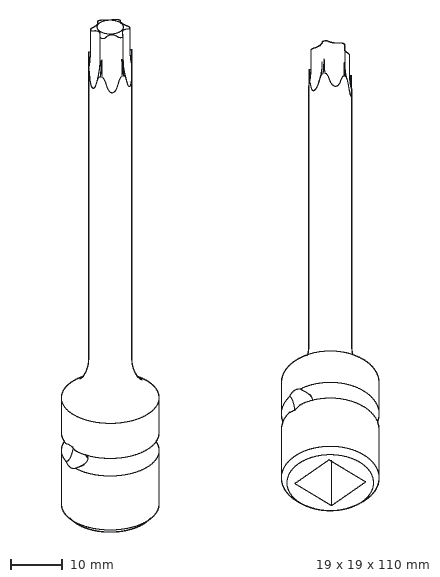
import cadquery as cq
import math

total_length = 110.0
body_radius = 9.5
shaft_radius = 4.2

foot_chamfer_height = 1.2
foot_chamfer_width = 1.1
groove_center_z = 15.5
groove_radius = 2.0
pin_hole_diameter = 5.0

socket_width = 9.7
socket_depth = 18.5

shoulder_z = 25.5
neck_radius = 10.0

lobe_count = 6
lobe_tip_radius = 3.85
flute_floor_radius = 2.75
lobe_round_radius = 0.64
straight_flute_length = 5.4
flute_runout_length = 7.0
end_flat_radius = 2.55
end_bevel_drop = 0.45

cutter_outer_radius = 1.5 * shaft_radius
runout_angle = 40.0

half_pitch = math.pi / lobe_count
neck_offset = shaft_radius + neck_radius - body_radius
neck_top_z = shoulder_z + math.sqrt(neck_radius**2 - neck_offset**2)
runout_start_z = total_length - straight_flute_length
flute_rise = shaft_radius - flute_floor_radius
runout_radius = (flute_rise**2 + flute_runout_length**2) / (2 * flute_rise)


def turned_blank():
    """Grooved drive body, concave neck and plain shaft with a bevelled end."""
    neck_sweep = math.acos(neck_offset / neck_radius)
    neck_middle = (
        shaft_radius + neck_radius * (1 - math.cos(neck_sweep / 2)),
        neck_top_z - neck_radius * math.sin(neck_sweep / 2),
    )
    bevel_slope = end_bevel_drop / (lobe_tip_radius - end_flat_radius)
    shaft_bevel_z = total_length - bevel_slope * (shaft_radius - end_flat_radius)
    return (
        cq.Workplane("YZ")
        .moveTo(0, 0)
        .lineTo(body_radius - foot_chamfer_width, 0)
        .lineTo(body_radius, foot_chamfer_height)
        .lineTo(body_radius, groove_center_z - groove_radius)
        .threePointArc(
            (body_radius - groove_radius, groove_center_z),
            (body_radius, groove_center_z + groove_radius),
        )
        .lineTo(body_radius, shoulder_z)
        .threePointArc(neck_middle, (shaft_radius, neck_top_z))
        .lineTo(shaft_radius, shaft_bevel_z)
        .lineTo(end_flat_radius, total_length)
        .lineTo(0, total_length)
        .close()
        .revolve(360, (0, 0, 0), (0, 1, 0))
    )


def pin_hole():
    """Cross hole along Y through the middle of the groove."""
    return (
        cq.Workplane("XZ")
        .center(0, groove_center_z)
        .circle(pin_hole_diameter / 2)
        .extrude(body_radius, both=True)
    )


def drive_socket():
    """Square three-eighths-inch socket, open at the foot."""
    return cq.Workplane("XY").rect(socket_width, socket_width).extrude(socket_depth)


def flute_profile():
    """Section of the +Y flute, from lobe crest to lobe crest and open outwards."""
    lobe_center_distance = lobe_tip_radius - lobe_round_radius
    lobe_x = lobe_center_distance * math.sin(half_pitch)
    lobe_y = lobe_center_distance * math.cos(half_pitch)
    flute_arc_radius = (
        lobe_x**2 + (flute_floor_radius - lobe_y) ** 2 - lobe_round_radius**2
    ) / (2 * (lobe_round_radius + lobe_y - flute_floor_radius))
    flute_center_y = flute_floor_radius + flute_arc_radius

    tangent_share = lobe_round_radius / (lobe_round_radius + flute_arc_radius)
    tangent_x = lobe_x * (1 - tangent_share)
    tangent_y = lobe_y + (flute_center_y - lobe_y) * tangent_share
    crest_x = lobe_tip_radius * math.sin(half_pitch)
    crest_y = lobe_tip_radius * math.cos(half_pitch)

    tangent_angle = math.atan2(tangent_y - lobe_y, tangent_x - lobe_x)
    crest_angle = math.pi / 2 - half_pitch
    middle_angle = (tangent_angle + crest_angle) / 2
    round_x = lobe_x + lobe_round_radius * math.cos(middle_angle)
    round_y = lobe_y + lobe_round_radius * math.sin(middle_angle)

    outer_x = cutter_outer_radius * math.sin(half_pitch)
    outer_y = cutter_outer_radius * math.cos(half_pitch)
    return (
        cq.Workplane("XY", origin=(0, 0, runout_start_z))
        .moveTo(-outer_x, outer_y)
        .lineTo(-crest_x, crest_y)
        .threePointArc((-round_x, round_y), (-tangent_x, tangent_y))
        .threePointArc((0, flute_floor_radius), (tangent_x, tangent_y))
        .threePointArc((round_x, round_y), (crest_x, crest_y))
        .lineTo(outer_x, outer_y)
        .close()
    )


def flute_cutter():
    """Straight flute to the tip, curving outwards below until it leaves the shaft."""
    axis_y = flute_floor_radius + runout_radius
    straight = flute_profile().extrude(straight_flute_length)
    runout = flute_profile().revolve(runout_angle, (0, axis_y, 0), (1, axis_y, 0))
    return straight.union(runout)


result = turned_blank().cut(pin_hole()).cut(drive_socket())

cutter = flute_cutter()
for index in range(lobe_count):
    result = result.cut(cutter.rotate((0, 0, 0), (0, 0, 1), index * 360 / lobe_count))